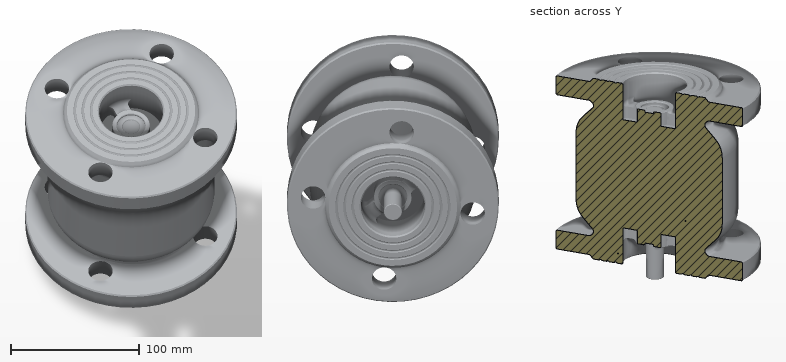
import cadquery as cq
import math

face_to_face = 150.0
mid_height = face_to_face / 2

flange_radius = 82.5
flange_thickness = 16.0
flange_chamfer = 1.0
face_radius = 50.0
face_height = 3.1
face_base_radius = 53.0
flange_back = face_height + flange_thickness
bolt_hole_diameter = 19.0
bolt_circle_radius = 62.5
bolt_count = 4
bolt_start_angle = 45

body_radius = 65.0
shoulder_radius = 19.8
shoulder_end_depth = 47.4
waist_radius = 50.0
waist_fillet = 3.0
foot_fillet = 3.0

groove_radii = (31.2, 37.6, 43.9)
groove_width = 2.0
groove_depth = 0.7

bore_radius = 50.0 / 2
bore_chamfer = 1.0
bore_depth = 30.0
hub_radius = 14.7
hub_depth = 19.0
hub_chamfer = 0.3
recess_radius = 22.0 / 2
recess_depth = 1.6
recess_chamfer = 0.5
rib_half_width = 12.0 / 2
rib_depth = 20.6
rib_fillet = 3.0

stem_radius = 14.0 / 2
stem_chamfer = 0.5
stem_end_radius = stem_radius - stem_chamfer
stem_top_depth = hub_depth + recess_depth + stem_chamfer
stem_protrusion = 10.0

cone_angle = math.radians(45)
cos_45 = math.cos(cone_angle)


def cylinder(radius, bottom, height):
    return cq.Workplane("XY").workplane(offset=bottom).circle(radius).extrude(height)


def revolve(profile):
    """Turn a closed (radius, height) profile about the Z axis."""
    return profile.close().revolve(360, (0, 0, 0), (0, 1, 0))


def both_ends(upper_shape):
    """Add the copy of an upper-end shape that sits at the lower end."""
    return upper_shape.union(upper_shape.mirror("XY", (0, 0, mid_height)))


def make_body():
    """Barrel with rounded shoulders, 45 degree cones and a filleted waist behind each flange."""
    arc_rise = waist_fillet * (1 - cos_45)
    arc_reach = waist_fillet * cos_45
    half_angle = cone_angle / 2
    shoulder_center = body_radius - shoulder_radius
    cone_outer_radius = shoulder_center + shoulder_radius * cos_45
    cone_inner_radius = waist_radius + arc_rise
    shoulder_z = face_to_face - shoulder_end_depth
    cone_outer_z = shoulder_z + shoulder_radius * cos_45
    cone_inner_z = cone_outer_z + cone_outer_radius - cone_inner_radius
    waist_z = cone_inner_z + arc_reach
    waist_end_z = waist_z + arc_reach
    flange_back_z = face_to_face - flange_back
    foot_radius = cone_inner_radius + flange_back_z - waist_end_z
    foot_tangent = foot_fillet * math.tan(half_angle)
    foot_start = (foot_radius - foot_tangent * cos_45, flange_back_z - foot_tangent * cos_45)
    foot_mid = (
        foot_radius + foot_tangent - foot_fillet * math.sin(half_angle),
        flange_back_z - foot_fillet * (1 - math.cos(half_angle)),
    )
    shoulder_and_neck = revolve(
        cq.Workplane("XZ")
        .moveTo(0, shoulder_z)
        .lineTo(body_radius, shoulder_z)
        .threePointArc(
            (
                shoulder_center + shoulder_radius * math.cos(half_angle),
                shoulder_z + shoulder_radius * math.sin(half_angle),
            ),
            (cone_outer_radius, cone_outer_z),
        )
        .lineTo(cone_inner_radius, cone_inner_z)
        .threePointArc((waist_radius, waist_z), (cone_inner_radius, waist_end_z))
        .lineTo(*foot_start)
        .threePointArc(foot_mid, (foot_radius + foot_tangent, flange_back_z))
        .lineTo(0, flange_back_z)
    )
    barrel = cylinder(body_radius, shoulder_end_depth, face_to_face - 2 * shoulder_end_depth)
    return barrel.union(both_ends(shoulder_and_neck))


def make_flange():
    """Upper flange with its raised sealing face."""
    plate = cylinder(flange_radius, face_to_face - flange_back, flange_thickness)
    plate = plate.edges().chamfer(flange_chamfer)
    raised_face = revolve(
        cq.Workplane("XZ")
        .moveTo(0, face_to_face - face_height)
        .lineTo(face_base_radius, face_to_face - face_height)
        .lineTo(face_radius, face_to_face)
        .lineTo(0, face_to_face)
    )
    return plate.union(raised_face)


def make_bolt_holes():
    """Bolt holes through the upper flange and the rim of the fillet behind it."""
    return (
        cq.Workplane("XY")
        .workplane(offset=face_to_face - flange_back - foot_fillet)
        .polarArray(bolt_circle_radius, bolt_start_angle, 360, bolt_count)
        .circle(bolt_hole_diameter / 2)
        .extrude(flange_back + foot_fillet)
    )


def make_groove(radius):
    """Shallow round-bottomed ring groove in the upper sealing face."""
    half_width = groove_width / 2
    return revolve(
        cq.Workplane("XZ")
        .moveTo(radius - half_width, face_to_face)
        .threePointArc((radius, face_to_face - groove_depth), (radius + half_width, face_to_face))
    )


def make_bore():
    """Blind upper bore with a chamfered mouth."""
    floor_z = face_to_face - bore_depth
    return revolve(
        cq.Workplane("XZ")
        .moveTo(0, floor_z)
        .lineTo(bore_radius, floor_z)
        .lineTo(bore_radius, face_to_face - bore_chamfer)
        .lineTo(bore_radius + bore_chamfer, face_to_face)
        .lineTo(0, face_to_face)
    )


def make_ribs():
    """Two ribs from hub to bore wall, filleted into both on top and into the wall at the sides."""
    floor_z = face_to_face - bore_depth
    rib_z = face_to_face - rib_depth
    fillet_z = rib_z + rib_fillet
    arc_gap = rib_fillet * (1 - cos_45)
    hub_z = face_to_face - hub_depth
    hub_inside = hub_radius - hub_chamfer
    hub_fillet_start = hub_radius + rib_fillet - math.sqrt(rib_fillet**2 - (fillet_z - hub_z) ** 2)
    ring = revolve(
        cq.Workplane("XZ")
        .moveTo(hub_inside, floor_z)
        .lineTo(hub_inside, hub_z)
        .lineTo(hub_fillet_start, hub_z)
        .threePointArc((hub_radius + arc_gap, rib_z + arc_gap), (hub_radius + rib_fillet, rib_z))
        .lineTo(bore_radius - rib_fillet, rib_z)
        .threePointArc((bore_radius - arc_gap, rib_z + arc_gap), (bore_radius, fillet_z))
        .lineTo(bore_radius, floor_z)
    )
    center_y = rib_half_width + rib_fillet
    center_distance = bore_radius - rib_fillet
    center_x = math.sqrt(center_distance**2 - center_y**2)
    wall_x = center_x * bore_radius / center_distance
    wall_y = center_y * bore_radius / center_distance
    arc_angle = (math.atan2(center_y, center_x) - math.pi / 2) / 2
    mid_x = center_x + rib_fillet * math.cos(arc_angle)
    mid_y = center_y + rib_fillet * math.sin(arc_angle)
    outline = (
        cq.Workplane("XY")
        .workplane(offset=floor_z)
        .moveTo(0, -rib_half_width)
        .lineTo(center_x, -rib_half_width)
        .threePointArc((mid_x, -mid_y), (wall_x, -wall_y))
        .threePointArc((bore_radius, 0), (wall_x, wall_y))
        .threePointArc((mid_x, mid_y), (center_x, rib_half_width))
        .lineTo(0, rib_half_width)
        .close()
        .extrude(bore_depth)
    )
    return ring.intersect(outline.union(outline.mirror("YZ")))


def make_hub():
    """Hub on the bore floor with a chamfered recess in its top, dished at the stem."""
    hub = cylinder(hub_radius, face_to_face - bore_depth, bore_depth - hub_depth)
    hub = hub.faces(">Z").chamfer(hub_chamfer)
    hub_z = face_to_face - hub_depth
    recess = revolve(
        cq.Workplane("XZ")
        .moveTo(0, face_to_face - stem_top_depth)
        .lineTo(stem_end_radius, face_to_face - stem_top_depth)
        .lineTo(stem_radius, hub_z - recess_depth)
        .lineTo(recess_radius, hub_z - recess_depth)
        .lineTo(recess_radius, hub_z - recess_chamfer)
        .lineTo(recess_radius + recess_chamfer, hub_z)
        .lineTo(0, hub_z)
    )
    return hub.cut(recess)


def make_stem():
    """Stem through both hubs, sticking out below the lower sealing face."""
    length = stem_protrusion + face_to_face - stem_top_depth
    stem = cylinder(stem_radius, -stem_protrusion, length)
    return stem.faces("<Z").chamfer(stem_chamfer)


end_cut = make_bore().union(make_bolt_holes())
for radius in groove_radii:
    end_cut = end_cut.union(make_groove(radius))

result = make_body().union(both_ends(make_flange()))
result = result.cut(both_ends(end_cut))
result = result.union(both_ends(make_hub().union(make_ribs())))
result = result.union(make_stem())